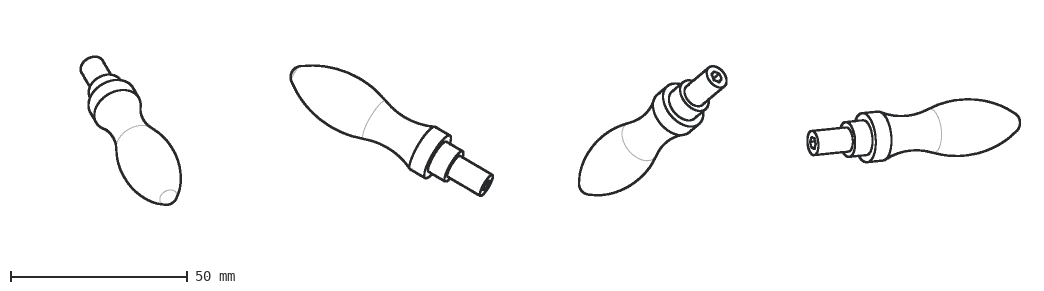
import cadquery as cq
import math

overall_length = 65.5
spigot_start_x = 10.95
collar_start_x = 16.45
collar_end_x = 21.4
waist_x = 30.45
belly_x = 47.5

shank_radius = 3.5
spigot_radius = 5.0
collar_radius = 7.0
waist_radius = 5.0
belly_radius = 8.0

socket_across_flats = 3.0
socket_depth = 3.9
socket_point_angle = 120.0

waist_span = waist_x - collar_end_x
waist_rise = collar_radius - waist_radius
waist_arc = (waist_span**2 + waist_rise**2) / (2 * waist_rise)

swell_span = belly_x - waist_x
swell_rise = belly_radius - waist_radius
arc_sum = (swell_span**2 + swell_rise**2) / (2 * swell_rise)
belly_arc = arc_sum - waist_arc
belly_centre_r = belly_radius - belly_arc
inflection_fraction = waist_arc / arc_sum
inflection = (
    waist_x + inflection_fraction * swell_span,
    waist_radius + inflection_fraction * swell_rise,
)

nose_length = overall_length - belly_x
tip_radius = (belly_arc**2 - nose_length**2 - belly_centre_r**2) / (2 * (belly_arc - nose_length))
tip_centre_x = overall_length - tip_radius
tip_angle = math.atan2(-belly_centre_r, tip_centre_x - belly_x)


def tip_point(angle):
    """Point on the tip sphere's profile at an angle from the axis."""
    return (tip_centre_x + tip_radius * math.cos(angle), tip_radius * math.sin(angle))


def turned_handle():
    """Stepped shank, collar and curved grip, revolved about X."""
    profile = (
        cq.Workplane("XY")
        .lineTo(0, shank_radius)
        .lineTo(spigot_start_x, shank_radius)
        .lineTo(spigot_start_x, spigot_radius)
        .lineTo(collar_start_x, spigot_radius)
        .lineTo(collar_start_x, collar_radius)
        .lineTo(collar_end_x, collar_radius)
        .threePointArc((waist_x, waist_radius), inflection)
        .threePointArc((belly_x, belly_radius), tip_point(tip_angle))
        .threePointArc(tip_point(tip_angle / 2), (overall_length, 0))
        .close()
    )
    return profile.revolve(360, (0, 0, 0), (1, 0, 0))


def hex_socket():
    """Hexagon with corners along Y, ending in a conical point."""
    corner_radius = socket_across_flats / math.sqrt(3)
    cone_length = corner_radius / math.tan(math.radians(socket_point_angle / 2))
    hexagon = cq.Workplane("YZ").polygon(6, 2 * corner_radius).extrude(socket_depth)
    drill = (
        cq.Workplane("XY")
        .lineTo(0, corner_radius)
        .lineTo(socket_depth - cone_length, corner_radius)
        .lineTo(socket_depth, 0)
        .close()
        .revolve(360, (0, 0, 0), (1, 0, 0))
    )
    return hexagon.intersect(drill)


result = turned_handle().cut(hex_socket())